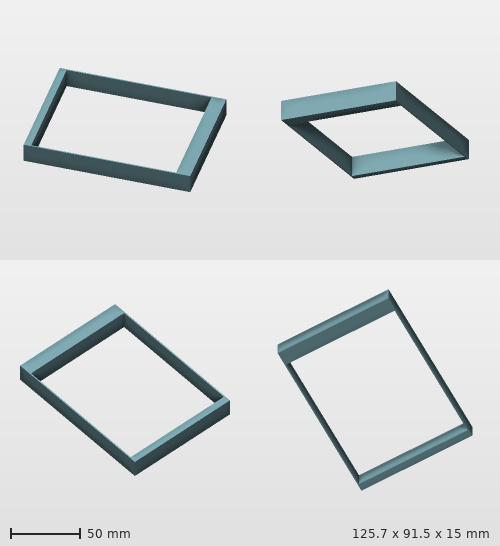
import cadquery as cq

length = 125.7
width = 91.5
height = 15.0

left_wall = 5.5
right_wall = 10.9
side_wall = 1.0

opening_length = length - left_wall - right_wall
opening_width = width - 2 * side_wall
opening_shift = (left_wall - right_wall) / 2

frame = cq.Workplane("XY").box(length, width, height)
opening = (
    cq.Workplane("XY")
    .box(opening_length, opening_width, height)
    .translate((opening_shift, 0, 0))
)

result = frame.cut(opening)